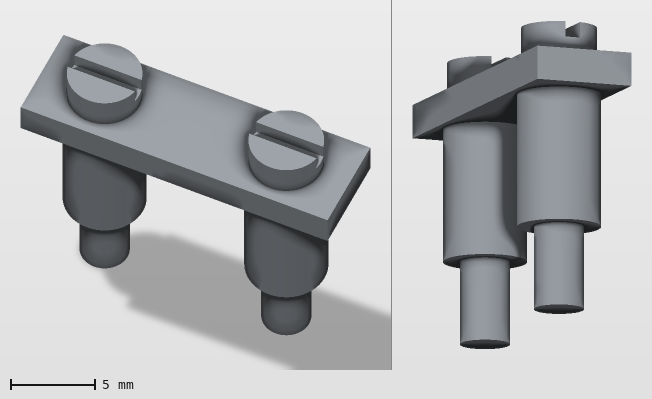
import cadquery as cq

plate_length = 20.1
plate_width = 6.0
plate_thickness = 2.0

screw_pitch = 11.9
head_diameter = 4.5
head_height = 2.0
shank_diameter = 3.0
shank_protrusion = 4.98
slot_width = 0.95
slot_depth = 0.95

sleeve_diameter = 5.0
sleeve_length = 8.0

plate_top = plate_thickness
head_top = plate_top + head_height
shank_bottom = -sleeve_length - shank_protrusion
screw_positions = [-screw_pitch / 2, screw_pitch / 2]


def cylinder(x, diameter, bottom, top):
    """Upright cylinder centred on (x, 0)."""
    return (
        cq.Workplane("XY", origin=(x, 0, bottom))
        .circle(diameter / 2)
        .extrude(top - bottom)
    )


def make_plate():
    """Flat bar with a clear hole for each screw shank."""
    plate = cq.Workplane("XY").box(
        plate_length, plate_width, plate_thickness, centered=(True, True, False)
    )
    for x in screw_positions:
        plate = plate.cut(cylinder(x, shank_diameter, 0, plate_top))
    return plate


def make_sleeve(x):
    """Plain tube that fits the screw shank."""
    outside = cylinder(x, sleeve_diameter, -sleeve_length, 0)
    bore = cylinder(x, shank_diameter, -sleeve_length, 0)
    return outside.cut(bore)


def make_screw(x):
    """Cheese-head screw with a driver slot along X."""
    head = cylinder(x, head_diameter, plate_top, head_top)
    shank = cylinder(x, shank_diameter, shank_bottom, plate_top)
    slot = cq.Workplane("XY", origin=(x, 0, head_top - slot_depth)).box(
        head_diameter, slot_width, slot_depth, centered=(True, True, False)
    )
    return head.union(shank).cut(slot)


plate = make_plate()
sleeves = [make_sleeve(x) for x in screw_positions]
screws = [make_screw(x) for x in screw_positions]

result = cq.Compound.makeCompound(
    [
        plate.val(),
        *[sleeve.val() for sleeve in sleeves],
        *[screw.val() for screw in screws],
    ]
)